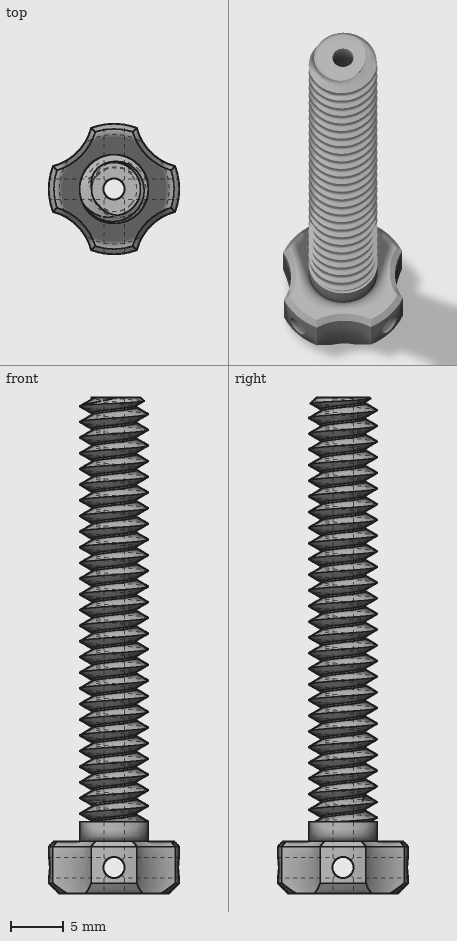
import math

import cadquery as cq

total_height = 47.5
bore_diameter = 2.0

head_diameter = 12.5
head_height = 5.0
arm_count = 4
arm_width = 4.4
scallop_radius = 5.0
top_chamfer = 0.5
bottom_chamfer = 1.0
cross_hole_diameter = 2.0

shank_diameter = 6.6
collar_top = 6.9
thread_pitch = 1.5
flank_angle = 60.0
root_flat = thread_pitch / 8
end_chamfer = 0.75
foot_overlap = 0.05
crest_relief = 0.01

head_radius = head_diameter / 2
collar_radius = shank_diameter / 2
crest_radius = collar_radius - crest_relief
thread_base_width = thread_pitch - root_flat
thread_depth = thread_base_width / 2 / math.tan(math.radians(flank_angle / 2))
root_radius = crest_radius - thread_depth
thread_length = total_height - collar_top


def cylinder(radius, bottom, top):
    return cq.Workplane("XY").workplane(offset=bottom).circle(radius).extrude(top - bottom)


def make_head():
    """Four-armed knob: a disc with scallops between the arms and both rims chamfered."""
    half_sector = math.pi / arm_count
    corner_angle = half_sector - math.asin(arm_width / 2 / head_radius)
    half_chord = head_radius * math.sin(corner_angle)
    chord_distance = head_radius * math.cos(corner_angle)
    scallop_distance = chord_distance + math.sqrt(scallop_radius**2 - half_chord**2)

    head = cylinder(head_radius, 0, head_height)
    scallops = (
        cq.Workplane("XY")
        .polarArray(scallop_distance, math.degrees(half_sector), 360, arm_count)
        .circle(scallop_radius)
        .extrude(head_height)
    )
    head = head.cut(scallops).faces(">Z").chamfer(top_chamfer)

    lower_cone = cylinder(head_radius, 0, head_height).faces("<Z").edges().chamfer(bottom_chamfer)
    return head.intersect(lower_cone)


def make_thread():
    """Right-handed sharp-crested thread, trimmed flat at both ends and chamfered at the tip."""
    start = collar_top - thread_pitch
    helix_height = thread_length + 2 * thread_pitch
    helix = cq.Wire.makeHelix(thread_pitch, helix_height, root_radius, cq.Vector(0, 0, start))

    foot_radius = root_radius - foot_overlap
    half_base = thread_base_width / 2
    ridge = (
        cq.Workplane("XZ")
        .moveTo(foot_radius, start - half_base)
        .lineTo(root_radius, start - half_base)
        .lineTo(crest_radius, start)
        .lineTo(root_radius, start + half_base)
        .lineTo(foot_radius, start + half_base)
        .close()
        .sweep(cq.Workplane(obj=helix), isFrenet=True)
    )
    clearance = thread_pitch
    envelope_radius = crest_radius + clearance
    envelope_chamfer = end_chamfer + clearance
    envelope = cylinder(envelope_radius, collar_top, total_height)
    envelope = envelope.faces(">Z").edges().chamfer(envelope_chamfer)
    core = cylinder(root_radius, collar_top, total_height)
    return core.union(ridge.intersect(envelope))


def make_cross_hole(plane):
    """Hole through two opposite arms, centred in the head height."""
    return (
        cq.Workplane(plane)
        .center(0, head_height / 2)
        .circle(cross_hole_diameter / 2)
        .extrude(head_radius, both=True)
    )


collar = cylinder(collar_radius, 0, collar_top)
bore = cylinder(bore_diameter / 2, 0, total_height)

knob = make_head().union(collar).union(make_thread())

holes = [make_cross_hole("XZ"), make_cross_hole("YZ"), bore]
result = cq.Workplane(obj=knob.val().cut(*[hole.val() for hole in holes]))